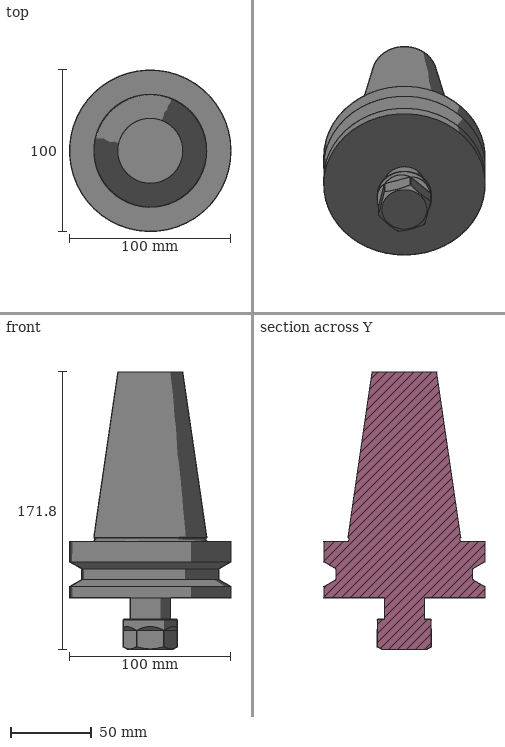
import cadquery as cq
import math

total_height = 171.8
gauge_height = 70.0
flange_top = 67.0
flange_bottom = 32.0
nut_top = 18.9

gauge_diameter = 70.0
taper_ratio = 7 / 24
taper_small_diameter = gauge_diameter - taper_ratio * (total_height - gauge_height)
gauge_land_height = 0.5
relief_diameter = 69.0
relief_fillet = 0.9

flange_diameter = 100.0
groove_diameter = 85.0
groove_floor_bottom = 43.3
groove_floor_top = 50.0
groove_wall_angle = 30.0

neck_diameter = 25.0
nut_diameter = 33.7
nut_across_flats = 29.4
nut_top_chamfer = 0.5
nut_bottom_radius = 14.0
nut_bottom_chamfer_height = 1.7
flat_top = 11.9
flat_runout_height = 2.4
flat_count = 6


def make_holder():
    """Revolve the neck, grooved flange and taper as one profile."""
    flange_radius = flange_diameter / 2
    groove_radius = groove_diameter / 2
    gauge_radius = gauge_diameter / 2
    relief_radius = relief_diameter / 2
    neck_radius = neck_diameter / 2
    wall_rise = (flange_radius - groove_radius) * math.tan(math.radians(groove_wall_angle))
    land_bottom = gauge_height - gauge_land_height
    bevel_bottom = land_bottom - (gauge_radius - relief_radius)
    fillet_center_radius = relief_radius + relief_fillet
    fillet_center_height = flange_top + relief_fillet
    fillet_offset = relief_fillet * math.cos(math.radians(45))
    fillet_middle = (fillet_center_radius - fillet_offset, fillet_center_height - fillet_offset)
    lower_profile = [
        (0, nut_top),
        (neck_radius, nut_top),
        (neck_radius, flange_bottom),
        (flange_radius, flange_bottom),
        (flange_radius, groove_floor_bottom - wall_rise),
        (groove_radius, groove_floor_bottom),
        (groove_radius, groove_floor_top),
        (flange_radius, groove_floor_top + wall_rise),
        (flange_radius, flange_top),
        (fillet_center_radius, flange_top),
    ]
    upper_profile = [
        (relief_radius, bevel_bottom),
        (gauge_radius, land_bottom),
        (gauge_radius, gauge_height),
        (taper_small_diameter / 2, total_height),
        (0, total_height),
    ]
    return (
        cq.Workplane("XZ")
        .polyline(lower_profile)
        .threePointArc(fillet_middle, (relief_radius, fillet_center_height))
        .polyline(upper_profile, includeCurrent=True)
        .close()
        .revolve()
    )


def make_nut_blank():
    """Round nut body, chamfered at both ends."""
    nut_radius = nut_diameter / 2
    profile = [
        (0, 0),
        (nut_bottom_radius, 0),
        (nut_radius, nut_bottom_chamfer_height),
        (nut_radius, nut_top - nut_top_chamfer),
        (nut_radius - nut_top_chamfer, nut_top),
        (0, nut_top),
    ]
    return cq.Workplane("XZ").polyline(profile).close().revolve()


def make_flat_cutter():
    """Prism that mills one wrench flat on the -Y side with a sloped run-out."""
    inner = nut_across_flats / 2
    outer = nut_diameter / 2
    section = [
        (-inner, 0),
        (-inner, flat_top),
        (-outer, flat_top + flat_runout_height),
        (-outer, 0),
    ]
    return cq.Workplane("YZ").polyline(section).close().extrude(outer, both=True)


def make_nut():
    nut = make_nut_blank()
    cutter = make_flat_cutter()
    for index in range(flat_count):
        angle = index * 360 / flat_count
        nut = nut.cut(cutter.rotate((0, 0, 0), (0, 0, 1), angle))
    return nut


result = make_holder().union(make_nut())